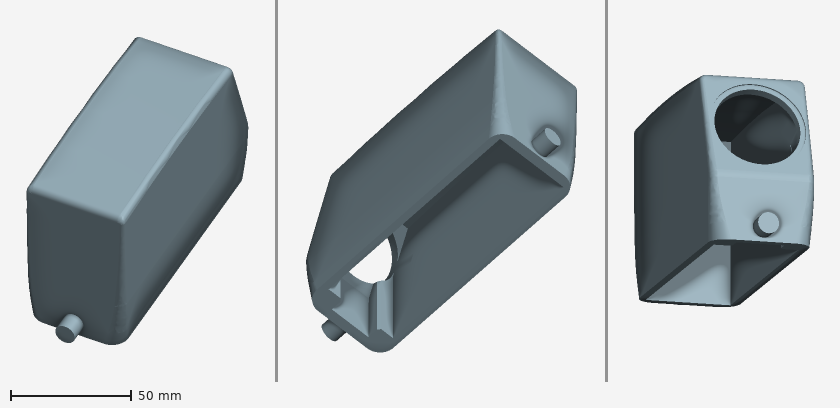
import cadquery as cq
import math


half_length = 60.0
end_draft = math.radians(0.6)
slant = math.radians(20)
slant_foot_z = 28.3
roof_peak_y = -7.0
roof_peak_z = 75.8
roof_radius = 620.0
slant_foot_radius = 10.0
wall = 4.5

half_width = 22.75
skirt_top_z = 7.0
flare_top_z = 23.3
skirt_taper = math.radians(4)

corner_radius_bottom = 7.7
corner_radius_skirt = 6.2
corner_radius_flare_front = 4.0
corner_radius_flare_back = 3.4
corner_radius_slant_foot = 3.0
corner_radius_top = 1.6
roof_side_radius = 3.0
roof_front_radius = 3.0
roof_slant_radius = 2.0

entry_y = 51.4
bore_diameter = 36.9
seat_diameter = 41.4
seat_depth = 0.65
bore_reach = 15.0

post_inner_x = 10.35
post_face_y = 48.9
post_chamfer = 1.2

pin_diameter = 9.0
pin_z = 6.2
pin_tip_y = 68.0

edge_tolerance = 0.01
crossing_steps = 20
rim_search_z = 70.0

slant_foot_y = half_length - slant_foot_z * math.tan(end_draft)
roof_center_z = roof_peak_z - roof_radius
flare_radius = (flare_top_z - skirt_top_z) / math.sin(skirt_taper)
skirt_half_width = half_width - flare_radius * (1 - math.cos(skirt_taper))
bottom_half_width = skirt_half_width - skirt_top_z * math.tan(skirt_taper)


def roof_z(y, offset=0.0):
    """Height of the arched roof, lowered by an inward offset."""
    return roof_center_z + math.sqrt((roof_radius - offset) ** 2 - (y - roof_peak_y) ** 2)


def roof_crossing(y_at_height, offset):
    """Point where a steep end line, given as y(z), meets the roof."""
    z = roof_peak_z
    for _ in range(crossing_steps):
        z = roof_z(y_at_height(z), offset)
    return y_at_height(z), z


def side_profile(offset):
    """Solid of the side outline, moved inwards by offset, spanning the full width."""
    end_shift = offset / math.cos(end_draft)
    slant_shift = offset / math.cos(slant)

    def end_y(z):
        return half_length - end_shift - z * math.tan(end_draft)

    def slant_y(z):
        return slant_foot_y - slant_shift - (z - slant_foot_z) * math.tan(slant)

    foot_z = slant_foot_z - (slant_shift - end_shift) / (math.tan(slant) - math.tan(end_draft))
    back = roof_crossing(slant_y, offset)
    front = roof_crossing(lambda z: -end_y(z), offset)
    return (
        cq.Workplane("YZ")
        .moveTo(-end_y(0), 0)
        .lineTo(end_y(0), 0)
        .lineTo(end_y(foot_z), foot_z)
        .lineTo(*back)
        .threePointArc((roof_peak_y, roof_peak_z - offset), front)
        .close()
        .extrude(half_width, both=True)
    )


def cross_section():
    """Solid of the XZ outline: tapered skirt, flare arc and vertical sides."""
    half_taper = skirt_taper / 2
    flare_mid_x = half_width - flare_radius * (1 - math.cos(half_taper))
    flare_mid_z = flare_top_z - flare_radius * math.sin(half_taper)
    return (
        cq.Workplane("XZ")
        .moveTo(-bottom_half_width, 0)
        .lineTo(bottom_half_width, 0)
        .lineTo(skirt_half_width, skirt_top_z)
        .threePointArc((flare_mid_x, flare_mid_z), (half_width, flare_top_z))
        .lineTo(half_width, roof_peak_z)
        .lineTo(-half_width, roof_peak_z)
        .lineTo(-half_width, flare_top_z)
        .threePointArc((-flare_mid_x, flare_mid_z), (-skirt_half_width, skirt_top_z))
        .close()
        .extrude(half_length, both=True)
    )


def corner_radius(point):
    """Corner radius at a point of a corner edge, linear between the levels where it is set."""
    levels = [(0.0, corner_radius_bottom), (skirt_top_z, corner_radius_skirt)]
    if point.y > 0:
        levels.append((flare_top_z, corner_radius_flare_back))
        levels.append((slant_foot_z, corner_radius_slant_foot))
    else:
        levels.append((flare_top_z, corner_radius_flare_front))
    levels.append((roof_peak_z, corner_radius_top))

    for (low_z, low_radius), (high_z, high_radius) in zip(levels, levels[1:]):
        if point.z <= high_z:
            return low_radius + (high_radius - low_radius) * (point.z - low_z) / (high_z - low_z)
    return corner_radius_top


def rim_edges(solid, long_axis):
    """Edges around the roof that run mainly along X or Y."""
    found = []
    for edge in solid.Edges():
        box = edge.BoundingBox()
        length = box.xlen if long_axis == "X" else box.ylen
        if box.zmin > rim_search_z and length > half_width:
            found.append(edge)
    return found


def round_shell(solid):
    """Round the upright corners and the rim of the roof together, so they blend where they meet.

    The corner radius varies along each chain of edges, which needs the kernel's fillet builder.
    """
    fillet = cq.occ_impl.shapes.BRepFilletAPI_MakeFillet(solid.wrapped)
    for edge in solid.Edges():
        box = edge.BoundingBox()
        is_skirt_corner = box.zmin < edge_tolerance and box.zlen > skirt_top_z / 2
        if is_skirt_corner:
            fillet.Add(edge.wrapped)

    for chain in range(1, fillet.NbContours() + 1):
        runs_down = cq.Vertex(fillet.FirstVertex(chain)).Z > skirt_top_z
        for index in range(1, fillet.NbEdges(chain) + 1):
            edge = cq.Edge(fillet.Edge(chain, index))
            ends = (edge.startPoint(), edge.endPoint())
            start, end = sorted(ends, key=lambda point: point.z, reverse=runs_down)
            fillet.SetRadius(corner_radius(start), corner_radius(end), chain, index)

    for edge in rim_edges(solid, "Y"):
        fillet.Add(roof_side_radius, edge.wrapped)
    for edge in rim_edges(solid, "X"):
        radius = roof_slant_radius if edge.Center().y > 0 else roof_front_radius
        fillet.Add(radius, edge.wrapped)
    return cq.Workplane(cq.Shape.cast(fillet.Shape()))


def outer_shell():
    """Solid hood with its edges rounded."""
    block = side_profile(0).intersect(cross_section())
    foot_edge = cq.selectors.NearestToPointSelector((0, slant_foot_y, slant_foot_z))
    block = block.edges(foot_edge).fillet(slant_foot_radius)
    return round_shell(block.solids().val())


def inner_posts():
    """Two full-height posts in the cavity corners beside the cable entry."""
    posts = cq.Workplane("XY")
    depth = half_length - post_face_y
    breadth = half_width - post_inner_x
    for side in (-1, 1):
        post = (
            cq.Workplane("XY")
            .box(breadth, depth, roof_peak_z, centered=(True, False, False))
            .edges("|Z and <Y")
            .edges(">X" if side < 0 else "<X")
            .chamfer(post_chamfer)
            .translate((side * (post_inner_x + breadth / 2), post_face_y, 0))
        )
        posts = posts.add(post)
    return posts.combine()


def cavity():
    """Space inside the walls, open at the bottom and narrowed by the posts."""
    width = 2 * (half_width - wall)
    limits = cq.Workplane("XY").box(width, 2 * half_length, roof_peak_z, centered=(True, True, False))
    return side_profile(wall).intersect(limits).cut(inner_posts())


def cable_entry():
    """Bore through the slanted wall with a shallow round seat on the outside."""
    entry_z = slant_foot_z + (slant_foot_y - entry_y) / math.tan(slant)
    outward = cq.Vector(0, math.cos(slant), math.sin(slant))
    face = cq.Plane(origin=(0, entry_y, entry_z), xDir=(1, 0, 0), normal=outward.toTuple())
    bore = cq.Workplane(face).circle(bore_diameter / 2).extrude(bore_reach, both=True)
    seat = cq.Workplane(face).workplane(offset=-seat_depth).circle(seat_diameter / 2).extrude(bore_reach)
    return bore.union(seat)


def pins():
    """Locking pins standing out from both end walls."""
    root_y = half_length - wall / 2
    length = pin_tip_y - root_y
    pin = (
        cq.Workplane("XZ", origin=(0, -root_y, pin_z))
        .circle(pin_diameter / 2)
        .extrude(length)
    )
    return pin.union(pin.mirror("XZ"))


result = outer_shell().cut(cavity()).cut(cable_entry()).union(pins())